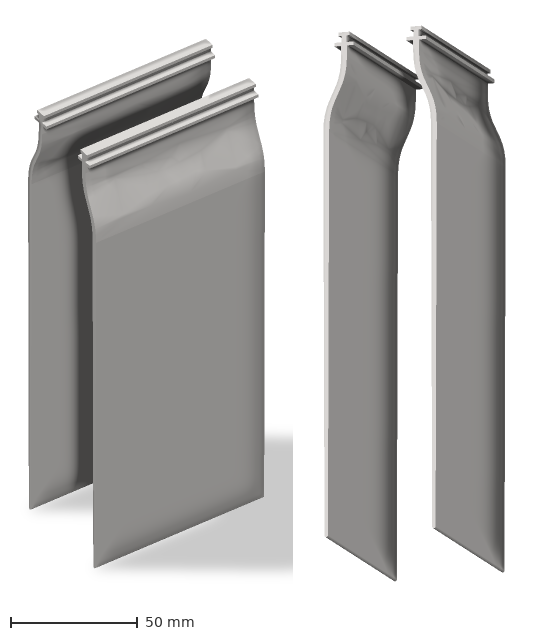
import cadquery as cq

height = 203.8
depth = 80.5
overall_width = 47.5

rail_center = 15.0
cap_width = 4.7
cap_thickness = 1.5
neck_width = 2.0
neck_height = 2.6
flange_width = 8.2
flange_thickness = 1.5

sheet_thickness = 2.5
tip_thickness = 1.5
bend_top = 194.0
bend_bottom = 164.0

cap_bottom = height - cap_thickness
flange_top = cap_bottom - neck_height
flange_bottom = flange_top - flange_thickness
bend_middle = (bend_top + bend_bottom) / 2

stem_outer = rail_center + sheet_thickness / 2
stem_inner = rail_center - sheet_thickness / 2
panel_outer = overall_width / 2
panel_inner = panel_outer - sheet_thickness
panel_center = panel_outer - sheet_thickness / 2
tip_radius = tip_thickness / 2
tip_outer = panel_center + tip_radius
tip_inner = panel_center - tip_radius


def rail_half(direction):
    """Outline points of one half of the rail heads, from the cap downwards."""
    cap_edge = rail_center + direction * cap_width / 2
    neck_edge = rail_center + direction * neck_width / 2
    flange_edge = rail_center + direction * flange_width / 2
    stem_edge = rail_center + direction * sheet_thickness / 2
    return [
        (cap_edge, height),
        (cap_edge, cap_bottom),
        (neck_edge, cap_bottom),
        (neck_edge, flange_top),
        (flange_edge, flange_top),
        (flange_edge, flange_bottom),
        (stem_edge, flange_bottom),
        (stem_edge, bend_top),
    ]


def bend_curve(stem_x, panel_x):
    """Control points of an S bend that is vertical at both ends."""
    return [
        (stem_x, bend_top),
        (stem_x, bend_middle),
        (panel_x, bend_middle),
        (panel_x, bend_bottom),
    ]


def make_side_panel():
    """Panel on the +X side: rail heads, S bend and a sheet that thins to a rounded tip."""
    outer_bend = bend_curve(stem_outer, panel_outer)
    inner_bend = bend_curve(stem_inner, panel_inner)
    inner_rail = rail_half(-1)
    outline = (
        cq.Workplane("XZ", origin=(0, depth / 2, 0))
        .polyline(rail_half(1))
        .bezier(outer_bend)
        .lineTo(tip_outer, tip_radius)
        .threePointArc((panel_center, 0), (tip_inner, tip_radius))
        .lineTo(panel_inner, bend_bottom)
        .bezier(inner_bend[::-1])
    )
    for point in inner_rail[-2::-1]:
        outline = outline.lineTo(*point)
    return outline.close().extrude(depth)


side_panels = []
for facing_left in (False, True):
    panel = make_side_panel()
    if facing_left:
        panel = panel.mirror("YZ")
    side_panels.append(panel.val())

result = cq.Compound.makeCompound(side_panels)